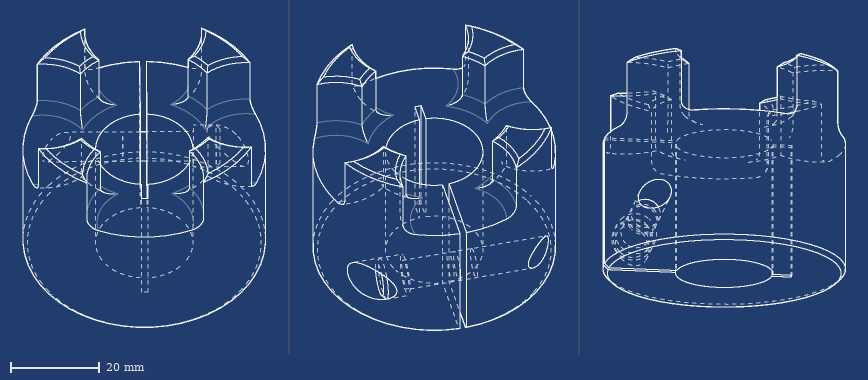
import cadquery as cq
import math

outer_radius = 27.5
bore_radius = 11.0
total_height = 45.95
floor_height = 30.65
edge_chamfer = 1.0

jaw_count = 4
jaw_inner_radius = 17.5
scoop_radius = 13.25
scoop_distance = 22.9
root_fillet = 2.35

slit_angle = 135
slit_width = 1.5
slit_blind_reach = 15.35

screw_offset = 18.65
screw_height = 12.0
shank_radius = 3.35
shank_length = 16.0
head_radius = 4.75
head_length = 6.0
head_end = 17.35
head_chamfer = 0.9
head_seat = head_end - head_length


def make_clearance(radius):
    """Round cutter with a rounded bottom edge and a flared mouth at the jaw tops."""
    profile = (
        cq.Workplane("XZ")
        .moveTo(0, floor_height)
        .lineTo(radius - root_fillet, floor_height)
        .radiusArc((radius, floor_height + root_fillet), -root_fillet)
        .lineTo(radius, total_height - edge_chamfer)
        .lineTo(radius + edge_chamfer, total_height)
        .lineTo(0, total_height)
        .close()
    )
    return profile.revolve(360, (0, 0, 0), (0, 1, 0))


def make_slit():
    """Flat cutter, open to the rim on one side and closed on the other."""
    length = outer_radius + edge_chamfer + slit_blind_reach
    return (
        cq.Workplane("XY")
        .box(length, slit_width, total_height, centered=(False, True, False))
        .translate((-slit_blind_reach, 0, 0))
        .rotate((0, 0, 0), (0, 0, 1), slit_angle)
    )


def screw_plane(distance):
    """Plane across the screw axis, its normal pointing to the head end."""
    along_slit = math.radians(slit_angle)
    along_screw = along_slit - math.pi / 2
    slit_direction = (math.cos(along_slit), math.sin(along_slit))
    screw_direction = (math.cos(along_screw), math.sin(along_screw))
    origin = (
        screw_offset * slit_direction[0] + distance * screw_direction[0],
        screw_offset * slit_direction[1] + distance * screw_direction[1],
        screw_height,
    )
    return cq.Plane(origin=origin, xDir=(0, 0, 1), normal=(*screw_direction, 0))


def make_screw():
    """Cap screw with a chamfered cylindrical head."""
    head = cq.Workplane(screw_plane(head_seat)).circle(head_radius).extrude(head_length)
    outer_face_centre = screw_plane(head_end).origin.toTuple()
    head = head.edges(cq.NearestToPointSelector(outer_face_centre)).chamfer(head_chamfer)
    shank = cq.Workplane(screw_plane(head_seat)).circle(shank_radius).extrude(-shank_length)
    return head.union(shank)


def make_screw_hole():
    """Hole for the shank right through the hub, with a counterbore for the head."""
    counterbore = cq.Workplane(screw_plane(head_seat)).circle(head_radius).extrude(outer_radius)
    through = cq.Workplane(screw_plane(-outer_radius)).circle(shank_radius).extrude(2 * outer_radius)
    return counterbore.union(through)


def make_hub():
    """Coupling half with four jaws, slit on one side and bored for its clamp screw."""
    hub = cq.Workplane("XY").circle(outer_radius).extrude(total_height)
    hub = hub.faces("<Z or >Z").edges().chamfer(edge_chamfer)
    hub = hub.cut(cq.Workplane("XY").circle(bore_radius).extrude(total_height))

    hub = hub.cut(make_clearance(jaw_inner_radius))
    jaw_pitch = 360 / jaw_count
    for index in range(jaw_count):
        scoop = make_clearance(scoop_radius).translate((scoop_distance, 0, 0))
        hub = hub.cut(scoop.rotate((0, 0, 0), (0, 0, 1), (index + 0.5) * jaw_pitch))

    return hub.cut(make_slit()).cut(make_screw_hole())


hub = make_hub()
screw = make_screw()
result = cq.Compound.makeCompound([hub.val(), screw.val()])